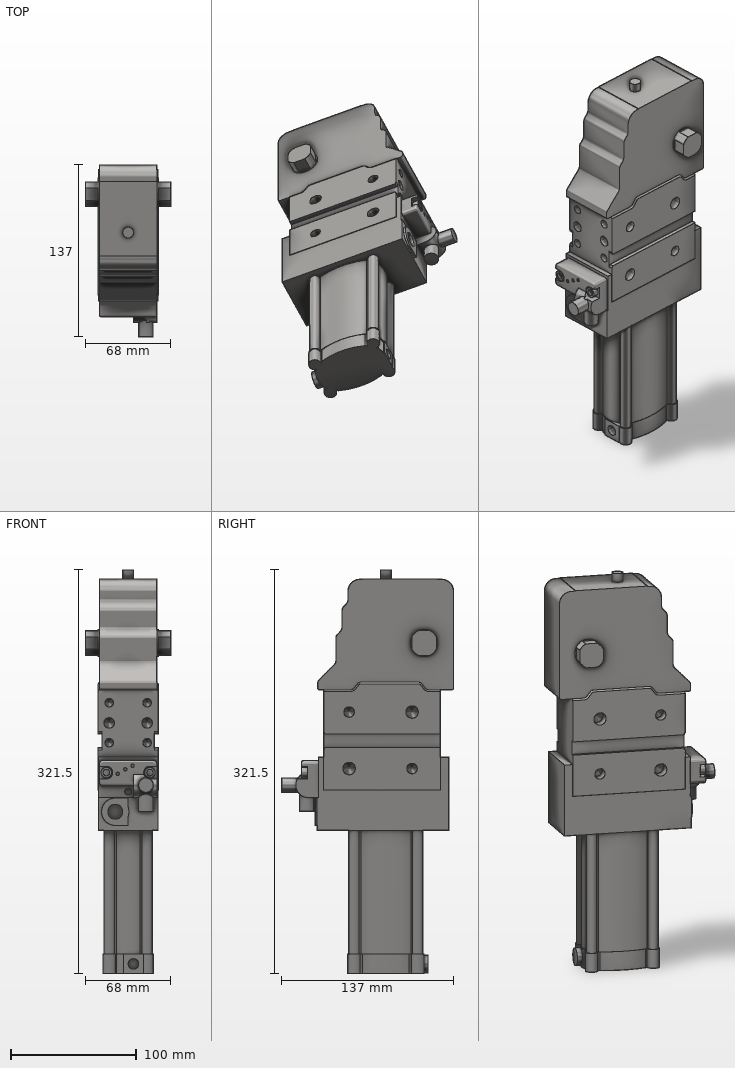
import cadquery as cq
import math


HEAD_HALF_WIDTH = 22.8
HEAD_TOP = 314.0
TOP_PANEL_TOP = 314.5
TOP_PANEL_BACK = 40.8
TOP_PANEL_FRONT = -18.5
HEAD_BOTTOM = 226.0
HEAD_BACK = 54.0
HEAD_FRONT = -30.2
HEAD_TOP_RADIUS = 9.5
STEP_OUT = 4.8
UPPER_STEP_Z = 291.0
LOWER_STEP_Z = 268.8
LIP_TOP = 232.8
LIP_OUT = 14.5
STEP_RADIUS = 5.8
LIP_RADIUS = 4.0
LIP_BOTTOM_RADIUS = 1.5
PIN_DIAMETER = 8.7
OVERALL_HEIGHT = 321.5

PLATE_HALF_WIDTH = 24.0
PLATE_BACK = 43.5
PLATE_FRONT = -49.5
PLATE_TOP = HEAD_BOTTOM
PLATE_BOTTOM = 146.3
PLATE_CHAMFER = PLATE_HALF_WIDTH - HEAD_HALF_WIDTH
ARCH_HEIGHT = 6.0
ARCH_END_LENGTH = 4.8
ARCH_BACK = 32.5
ARCH_FRONT = -26.5
ARCH_RADIUS = 4.0
SLOT_BOTTOM = 180.0
SLOT_TOP = 191.0
SLOT_DEPTH = 3.2
SLOT_LEAD_IN = 2.0
SLOT_LEAD_LENGTH = 1.0

LARGE_HOLE = 10.0
MEDIUM_HOLE = 8.5
SMALL_HOLE = 6.8
HOLE_DEPTH = 9.5
DRILL_POINT_ANGLE = 118.0
SIDE_HOLE_BACK = 21.0
SIDE_HOLE_FRONT = -29.3
SIDE_HOLE_UPPER = 208.3
SIDE_HOLE_LOWER = 163.3
FRONT_HOLE_OFFSET = 15.0
FRONT_HOLE_HEIGHTS = [(215.7, SMALL_HOLE), (199.5, MEDIUM_HOLE), (184.0, SMALL_HOLE)]

BLOCK_HALF_WIDTH = 23.8
BLOCK_BACK = 50.0
BLOCK_FRONT = -54.5
BLOCK_TOP = 172.3
BLOCK_BOTTOM = 114.0
SENSOR_SEAT_Y = -53.7
SENSOR_SEAT_BOTTOM = 140.2
PORT_PAD_DIAMETER = 22.0
PORT_PAD_FRONT = -56.3
PORT_X = -10.3
PORT_Z = 129.0
PORT_DIAMETER = 12.0
PORT_DEPTH = 13.0
VENT_DIAMETER = 5.5
VENT_Z = 145.0
VENT_DEPTH = 4.8

COLUMN_X = 15.0
COLUMN_Y = 25.5
BARREL_COLUMN_DIAMETER = 8.5
CAP_COLUMN_DIAMETER = 10.0
SIDE_APEX = 19.0
SIDE_CORNER_X = 16.0
BARREL_SIDE_CORNER_Y = 20.0
CAP_SIDE_CORNER_Y = 18.5
BARREL_END_APEX = 29.0
CAP_END_APEX = 29.5
END_CORNER_X = 9.3
END_ARC_RISE = 2.3
CAP_TOP = 15.5
CAP_PORT_X = 4.2
CAP_PORT_Z = CAP_TOP / 2
CAP_PORT_DIAMETER = 8.5
CAP_PORT_DEPTH = 8.0
CAP_PAD_LEFT = -3.5
CAP_PAD_RIGHT = 12.2
CAP_PAD_FRONT = -30.2
CAP_BOSS_DIAMETER = 14.0
CAP_BOSS_BACK = 33.8

SHAFT_DIAMETER = 22.0
SHAFT_ACROSS_FLATS = 19.5
SHAFT_LENGTH = 68.0
SHAFT_COLLAR_LENGTH = 48.2
SHAFT_Y = 30.5
SHAFT_Z = 263.3

SENSOR_HALF_WIDTH = 22.8
SENSOR_FRONT = -67.2
SENSOR_TOP = 169.8
SENSOR_BOTTOM = 149.5
SENSOR_SIDE_RADIUS = 3.0
SENSOR_FACE_RADIUS = 1.5
SCREW_X = 17.5
SCREW_Z = 160.0
SCREW_POCKET_DIAMETER = 10.0
SCREW_POCKET_DEPTH = 4.8
SCREW_HEAD_DIAMETER = 8.5
SCREW_SOCKET_DIAMETER = 5.0
SCREW_SOCKET_DEPTH = 2.3
INDICATOR_PLACES = [(-8.5, 159.0), (-2.3, 162.7), (3.5, 165.5)]
INDICATOR_DIAMETER = 2.5
INDICATOR_DEPTH = 1.3
ELBOW_LEFT = 4.2
ELBOW_RADIUS = 10.0
ELBOW_Y = -61.7
ELBOW_Z = SENSOR_SEAT_BOTTOM + ELBOW_RADIUS
CONNECTOR_DIAMETER = 11.5
CONNECTOR_X = 14.0
CONNECTOR_FRONT = -83.0
CABLE_Y = -63.0
CABLE_BOTTOM = 129.2


def box(x_range, y_range, z_range):
    """Box between two X, two Y and two Z values."""
    corner = [min(x_range), min(y_range), min(z_range)]
    size = [abs(r[1] - r[0]) for r in (x_range, y_range, z_range)]
    return cq.Workplane("XY").box(*size, centered=False).translate(corner)


def rod(start, direction, diameter, length):
    """Solid cylinder that runs from a start point along a direction."""
    solid = cq.Solid.makeCylinder(diameter / 2, length, cq.Vector(*start), cq.Vector(*direction))
    return cq.Workplane(solid)


def drilled_hole(start, direction, diameter):
    """Blind drilled hole with a conical bottom, as a solid to cut away."""
    radius = diameter / 2
    point_length = radius / math.tan(math.radians(DRILL_POINT_ANGLE / 2))
    end = cq.Vector(*start) + cq.Vector(*direction) * HOLE_DEPTH
    point = cq.Solid.makeCone(radius, 0, point_length, end, cq.Vector(*direction))
    return rod(start, direction, diameter, HOLE_DEPTH).union(cq.Workplane(point))


def side_extrusion(outline, half_width):
    """Closed (Y, Z) outline extruded symmetrically along X."""
    return cq.Workplane("YZ").polyline(outline).close().extrude(half_width, both=True)


def fillet_corner(body, y, z, radius):
    """Round the X-direction edge that passes through (y, z)."""
    reach = 0.15
    picker = cq.selectors.BoxSelector(
        (-PLATE_HALF_WIDTH, y - reach, z - reach), (PLATE_HALF_WIDTH, y + reach, z + reach)
    )
    return body.edges("|X").edges(picker).fillet(radius)


def make_head():
    upper_front = HEAD_FRONT - STEP_OUT
    lower_front = upper_front - STEP_OUT
    lip_front = lower_front - LIP_OUT
    lip_root = LIP_TOP + LIP_OUT
    corners = [
        (HEAD_FRONT, HEAD_TOP, HEAD_TOP_RADIUS),
        (HEAD_FRONT, UPPER_STEP_Z + STEP_OUT, STEP_RADIUS),
        (upper_front, UPPER_STEP_Z, STEP_RADIUS),
        (upper_front, LOWER_STEP_Z + STEP_OUT, STEP_RADIUS),
        (lower_front, LOWER_STEP_Z, LIP_RADIUS),
        (lower_front, lip_root, LIP_RADIUS),
        (lip_front, LIP_TOP, LIP_RADIUS),
        (lip_front, HEAD_BOTTOM, LIP_BOTTOM_RADIUS),
        (HEAD_BACK, HEAD_BOTTOM, LIP_BOTTOM_RADIUS),
        (HEAD_BACK, HEAD_TOP, HEAD_TOP_RADIUS),
    ]
    head = side_extrusion([(y, z) for y, z, _ in corners], HEAD_HALF_WIDTH)
    for y, z, radius in corners:
        head = fillet_corner(head, y, z, radius)
    panel = box(
        (-HEAD_HALF_WIDTH, HEAD_HALF_WIDTH),
        (TOP_PANEL_FRONT, TOP_PANEL_BACK),
        (HEAD_TOP, TOP_PANEL_TOP),
    )
    pin = rod((0, 0, HEAD_TOP), (0, 0, 1), PIN_DIAMETER, OVERALL_HEIGHT - HEAD_TOP)
    return head.union(panel).union(pin)


def make_plate():
    arch_top = PLATE_TOP + ARCH_HEIGHT
    corners = [
        (ARCH_FRONT, PLATE_TOP),
        (ARCH_FRONT + ARCH_END_LENGTH, arch_top),
        (ARCH_BACK - ARCH_END_LENGTH, arch_top),
        (ARCH_BACK, PLATE_TOP),
    ]
    lower = [(PLATE_BACK, PLATE_BOTTOM), (PLATE_FRONT, PLATE_BOTTOM), (PLATE_FRONT, PLATE_TOP)]
    plate = side_extrusion(corners + [(PLATE_BACK, PLATE_TOP)] + lower, PLATE_HALF_WIDTH)
    for y, z in corners:
        plate = fillet_corner(plate, y, z, ARCH_RADIUS)
    margin = 3.2
    upper_edges = cq.selectors.BoxSelector(
        (-PLATE_HALF_WIDTH - margin, PLATE_FRONT, PLATE_TOP - margin),
        (PLATE_HALF_WIDTH + margin, PLATE_BACK, arch_top + margin),
    )
    return plate.faces("<X or >X").edges(upper_edges).chamfer(PLATE_CHAMFER)


def make_side_slot(side):
    """Slot along Y in one side of the plate, wider at its front end."""
    floor = side * (PLATE_HALF_WIDTH - SLOT_DEPTH)
    lead_end = PLATE_FRONT + SLOT_LEAD_LENGTH
    outline = [
        (PLATE_FRONT, SLOT_BOTTOM - SLOT_LEAD_IN),
        (lead_end, SLOT_BOTTOM),
        (PLATE_BACK, SLOT_BOTTOM),
        (PLATE_BACK, SLOT_TOP),
        (lead_end, SLOT_TOP),
        (PLATE_FRONT, SLOT_TOP + SLOT_LEAD_IN),
    ]
    slot = cq.Workplane("YZ", origin=(floor, 0, 0)).polyline(outline).close()
    return slot.extrude(side * SLOT_DEPTH)


def make_block():
    x_range = (-BLOCK_HALF_WIDTH, BLOCK_HALF_WIDTH)
    block = box(x_range, (BLOCK_FRONT, BLOCK_BACK), (BLOCK_BOTTOM, BLOCK_TOP))
    seat = box(x_range, (BLOCK_FRONT, SENSOR_SEAT_Y), (SENSOR_SEAT_BOTTOM, BLOCK_TOP))
    vent = rod((0, SENSOR_SEAT_Y, VENT_Z), (0, 1, 0), VENT_DIAMETER, VENT_DEPTH)
    return block.cut(seat).cut(vent)


def make_port_pad():
    """D-shaped pad around the air port on the front of the block."""
    radius = PORT_PAD_DIAMETER / 2
    thickness = BLOCK_FRONT - PORT_PAD_FRONT
    start = (PORT_X, PORT_PAD_FRONT, PORT_Z)
    pad = rod(start, (0, 1, 0), PORT_PAD_DIAMETER, thickness)
    square_end = box(
        (PORT_X, 0), (PORT_PAD_FRONT, BLOCK_FRONT), (PORT_Z - radius, PORT_Z + radius)
    )
    return pad.union(square_end)


def cylinder_section(side_y, end_apex, column_diameter, bottom, top):
    """Length of the oval cylinder profile with a round column at each corner."""
    side_x, end_x = SIDE_CORNER_X, END_CORNER_X
    end_y = end_apex - END_ARC_RISE
    oval = (
        cq.Workplane("XY", origin=(0, 0, bottom))
        .moveTo(side_x, -side_y)
        .threePointArc((SIDE_APEX, 0), (side_x, side_y))
        .lineTo(end_x, end_y)
        .threePointArc((0, end_apex), (-end_x, end_y))
        .lineTo(-side_x, side_y)
        .threePointArc((-SIDE_APEX, 0), (-side_x, -side_y))
        .lineTo(-end_x, -end_y)
        .threePointArc((0, -end_apex), (end_x, -end_y))
        .close()
        .extrude(top - bottom)
    )
    for x in (-COLUMN_X, COLUMN_X):
        for y in (-COLUMN_Y, COLUMN_Y):
            oval = oval.union(rod((x, y, bottom), (0, 0, 1), column_diameter, top - bottom))
    return oval


def make_barrel():
    return cylinder_section(
        BARREL_SIDE_CORNER_Y, BARREL_END_APEX, BARREL_COLUMN_DIAMETER, CAP_TOP, BLOCK_BOTTOM
    )


def make_end_cap():
    cap = cylinder_section(CAP_SIDE_CORNER_Y, CAP_END_APEX, CAP_COLUMN_DIAMETER, 0, CAP_TOP)
    pad = box((CAP_PAD_LEFT, CAP_PAD_RIGHT), (CAP_PAD_FRONT, 0), (0, CAP_TOP))
    boss = rod((CAP_PORT_X, 0, CAP_PORT_Z), (0, 1, 0), CAP_BOSS_DIAMETER, CAP_BOSS_BACK)
    port_start = (CAP_PORT_X, CAP_PAD_FRONT, CAP_PORT_Z)
    port = rod(port_start, (0, 1, 0), CAP_PORT_DIAMETER, CAP_PORT_DEPTH)
    return cap.union(pad).union(boss).cut(port)


def make_mounting_holes(side):
    """Drilled holes on one side of the plate and in the same half of its front."""
    side_holes = [
        (SIDE_HOLE_BACK, SIDE_HOLE_UPPER, LARGE_HOLE),
        (SIDE_HOLE_FRONT, SIDE_HOLE_UPPER, MEDIUM_HOLE),
        (SIDE_HOLE_BACK, SIDE_HOLE_LOWER, MEDIUM_HOLE),
        (SIDE_HOLE_FRONT, SIDE_HOLE_LOWER, LARGE_HOLE),
    ]
    holes = [drilled_hole((side * PLATE_HALF_WIDTH, y, z), (-side, 0, 0), d) for y, z, d in side_holes]
    for z, diameter in FRONT_HOLE_HEIGHTS:
        holes.append(drilled_hole((side * FRONT_HOLE_OFFSET, PLATE_FRONT, z), (0, 1, 0), diameter))
    return holes


def make_housing():
    housing = make_head().union(make_plate()).union(make_block()).union(make_port_pad())
    housing = housing.union(make_barrel()).union(make_end_cap())
    for side in (-1, 1):
        housing = housing.cut(make_side_slot(side))
        for hole in make_mounting_holes(side):
            housing = housing.cut(hole)
    port = rod((PORT_X, PORT_PAD_FRONT, PORT_Z), (0, 1, 0), PORT_DIAMETER, PORT_DEPTH)
    shaft_bore = rod((-SHAFT_LENGTH / 2, SHAFT_Y, SHAFT_Z), (1, 0, 0), SHAFT_DIAMETER, SHAFT_LENGTH)
    return housing.cut(port).cut(shaft_bore)


def make_shaft():
    """Round through the head, with four flats on each protruding end."""
    half_length = SHAFT_LENGTH / 2
    round_bar = rod((-half_length, SHAFT_Y, SHAFT_Z), (1, 0, 0), SHAFT_DIAMETER, SHAFT_LENGTH)
    squared = cq.Workplane("XY").box(SHAFT_LENGTH, SHAFT_ACROSS_FLATS, SHAFT_ACROSS_FLATS)
    squared = squared.translate((0, SHAFT_Y, SHAFT_Z)).intersect(round_bar)
    collar_start = (-SHAFT_COLLAR_LENGTH / 2, SHAFT_Y, SHAFT_Z)
    return squared.union(rod(collar_start, (1, 0, 0), SHAFT_DIAMETER, SHAFT_COLLAR_LENGTH))


def add_sensor_screw(sensor, side):
    """Screw head in a pocket that opens to one side of the sensor."""
    radius = SCREW_POCKET_DIAMETER / 2
    screw_x = side * SCREW_X
    floor_y = SENSOR_FRONT + SCREW_POCKET_DEPTH
    clear_y = ELBOW_Y - ELBOW_RADIUS
    pocket = rod((screw_x, floor_y, SCREW_Z), (0, -1, 0), SCREW_POCKET_DIAMETER, floor_y - clear_y)
    opening = box(
        (screw_x, side * SENSOR_HALF_WIDTH),
        (floor_y, clear_y),
        (SCREW_Z - radius, SCREW_Z + radius),
    )
    head = rod((screw_x, floor_y, SCREW_Z), (0, -1, 0), SCREW_HEAD_DIAMETER, SCREW_POCKET_DEPTH)
    socket_start = (screw_x, SENSOR_FRONT, SCREW_Z)
    socket = rod(socket_start, (0, 1, 0), SCREW_SOCKET_DIAMETER, SCREW_SOCKET_DEPTH)
    return sensor.cut(pocket.union(opening)).union(head.cut(socket))


def make_elbow():
    """Rounded connector elbow with a plug to the front and a cable outlet below."""
    elbow = rod(
        (ELBOW_LEFT, ELBOW_Y, ELBOW_Z), (1, 0, 0), 2 * ELBOW_RADIUS, SENSOR_HALF_WIDTH - ELBOW_LEFT
    )
    x_range = (ELBOW_LEFT, SENSOR_HALF_WIDTH)
    z_range = (SENSOR_SEAT_BOTTOM, SENSOR_SEAT_BOTTOM + 2 * ELBOW_RADIUS)
    elbow = elbow.intersect(box(x_range, (ELBOW_Y - ELBOW_RADIUS, ELBOW_Y), z_range))
    root = box(x_range, (SENSOR_SEAT_Y, ELBOW_Y), z_range)
    plug_start = (CONNECTOR_X, ELBOW_Y, ELBOW_Z)
    plug = rod(plug_start, (0, -1, 0), CONNECTOR_DIAMETER, ELBOW_Y - CONNECTOR_FRONT)
    cable_start = (CONNECTOR_X, CABLE_Y, ELBOW_Z)
    cable = rod(cable_start, (0, 0, -1), CONNECTOR_DIAMETER, ELBOW_Z - CABLE_BOTTOM)
    return elbow.union(root).union(plug).union(cable)


def make_sensor():
    sensor = box(
        (-SENSOR_HALF_WIDTH, SENSOR_HALF_WIDTH),
        (SENSOR_FRONT, SENSOR_SEAT_Y),
        (SENSOR_BOTTOM, SENSOR_TOP),
    )
    sensor = sensor.edges("|Y").fillet(SENSOR_SIDE_RADIUS)
    sensor = sensor.faces("<Y").edges().fillet(SENSOR_FACE_RADIUS)
    sensor = sensor.union(make_elbow())
    for side in (-1, 1):
        sensor = add_sensor_screw(sensor, side)
    for x, z in INDICATOR_PLACES:
        indicator = rod((x, SENSOR_FRONT, z), (0, 1, 0), INDICATOR_DIAMETER, INDICATOR_DEPTH)
        sensor = sensor.cut(indicator)
    return sensor


housing = make_housing()
shaft = make_shaft()
sensor = make_sensor()

result = cq.Compound.makeCompound([housing.val(), shaft.val(), sensor.val()])